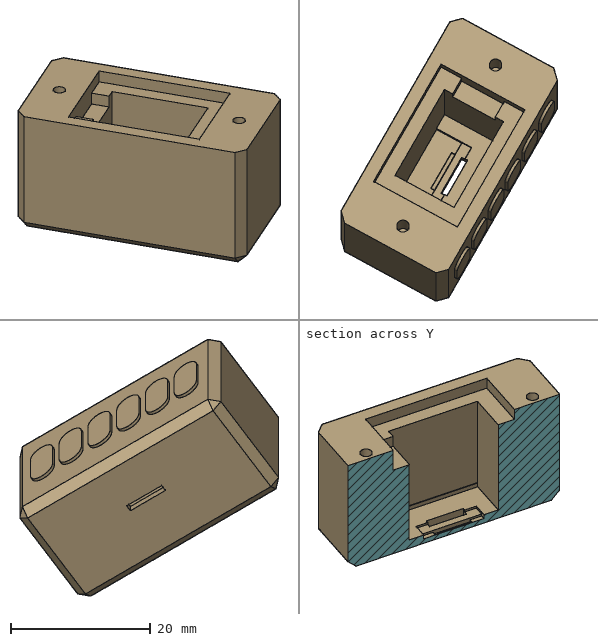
import cadquery as cq
import math

length = 34.62
width = 17.7
height = 18.9
edge_chamfer = 1.35

pad_count = 6
pad_pitch = 4.95
pad_width = 3.8
pad_height = 8.45
pad_thickness = 0.45
pad_center_z = 10.28

screw_diameter = 1.75
screw_spacing = 27.2
screw_depth = 5.2

seat_length = 19.8
seat_width = 13.78
seat_depth = 1.8

cavity_length = 14.5
cavity_width = 9.7
floor_thickness = 1.6
sill_thickness = 0.1
sill_height = 0.7

notch_width = 7.0
notch_depth = 1.8

recess_length = 9.83
recess_rear_y = 0.9
step_y = -0.7
upper_step_depth = 0.35
lower_step_depth = 0.7

slot_length = 6.02
slot_half_width = 1.3
through_slot_front_y = 0.35
blind_slot_depth = 0.35

seat_z = height - seat_depth
cavity_front_y = -cavity_width / 2
cavity_rear_y = cavity_width / 2
upper_step_z = floor_thickness - upper_step_depth
lower_step_z = floor_thickness - lower_step_depth


def box_between(x_range, y_range, z_range):
    """Box spanning the given (low, high) ranges along X, Y and Z."""
    sizes = [high - low for low, high in (x_range, y_range, z_range)]
    corner = (x_range[0], y_range[0], z_range[0])
    return cq.Workplane("XY").box(*sizes, centered=False).translate(corner)


def centered_range(size):
    """Range of the given size, symmetric about zero."""
    return (-size / 2, size / 2)


def make_corner_cut():
    """Waste at one upright corner: the corner chamfer and the triangular facet below it."""
    facet_run = edge_chamfer / math.sqrt(2)
    reach = 2 * edge_chamfer
    diagonal_plane = cq.Plane(
        origin=(length / 2 - edge_chamfer, width / 2 - edge_chamfer, 0),
        xDir=(1, 1, 0),
        normal=(1, -1, 0),
    )
    outline = [(0, 0), (facet_run, edge_chamfer), (facet_run, height), (reach, height), (reach, 0)]
    return cq.Workplane(diagonal_plane).polyline(outline).close().extrude(reach, both=True)


def make_body():
    """Block with a chamfered bottom rim and four chamfered upright corners."""
    block = cq.Workplane("XY").box(length, width, height, centered=(True, True, False))
    block = block.faces("<Z").edges().chamfer(edge_chamfer)
    right_rear_cut = make_corner_cut()
    left_rear_cut = right_rear_cut.mirror("YZ")
    for rear_cut in (right_rear_cut, left_rear_cut):
        block = block.cut(rear_cut).cut(rear_cut.mirror("XZ"))
    return block


def make_pads():
    """Row of upright round-ended pads standing on the rear face."""
    return (
        cq.Workplane("XZ", origin=(0, width / 2, pad_center_z))
        .rarray(pad_pitch, 0.35, pad_count, 1)
        .slot2D(pad_height, pad_width, 90)
        .extrude(-pad_thickness)
    )


def make_opening():
    """Seat, cavity and left notch, less the sill along the rear wall."""
    seat = box_between(centered_range(seat_length), centered_range(seat_width), (seat_z, height))
    cavity = box_between(
        centered_range(cavity_length), (cavity_front_y, cavity_rear_y), (floor_thickness, height)
    )
    sill = box_between(
        centered_range(cavity_length),
        (cavity_rear_y - sill_thickness, cavity_rear_y),
        (floor_thickness, floor_thickness + sill_height),
    )
    notch = box_between(
        (-seat_length / 2, 0), centered_range(notch_width), (seat_z - notch_depth, height)
    )
    return cavity.cut(sill).union(seat).union(notch)


def make_floor_cuts():
    """Two-step recess in the floor, with one through slot and one blind slot."""
    recess_x = centered_range(recess_length)
    slot_x = centered_range(slot_length)
    upper_step = box_between(recess_x, (step_y, recess_rear_y), (upper_step_z, floor_thickness))
    lower_step = box_between(recess_x, (cavity_front_y, step_y), (lower_step_z, floor_thickness))
    through_slot = box_between(slot_x, (through_slot_front_y, slot_half_width), (0, floor_thickness))
    blind_slot = box_between(
        slot_x, (-slot_half_width, step_y), (lower_step_z - blind_slot_depth, lower_step_z)
    )
    return upper_step.union(lower_step).union(through_slot).union(blind_slot)


def make_screw_holes():
    """Pair of blind holes, one at each end of the top face."""
    return (
        cq.Workplane("XY", origin=(0, 0, height))
        .rarray(screw_spacing, 0.35, 2, 1)
        .circle(screw_diameter / 2)
        .extrude(-screw_depth)
    )


body = make_body().cut(make_opening()).cut(make_floor_cuts()).cut(make_screw_holes())
part = body.union(make_pads())

result = part.translate((0, -pad_thickness / 2, 0))